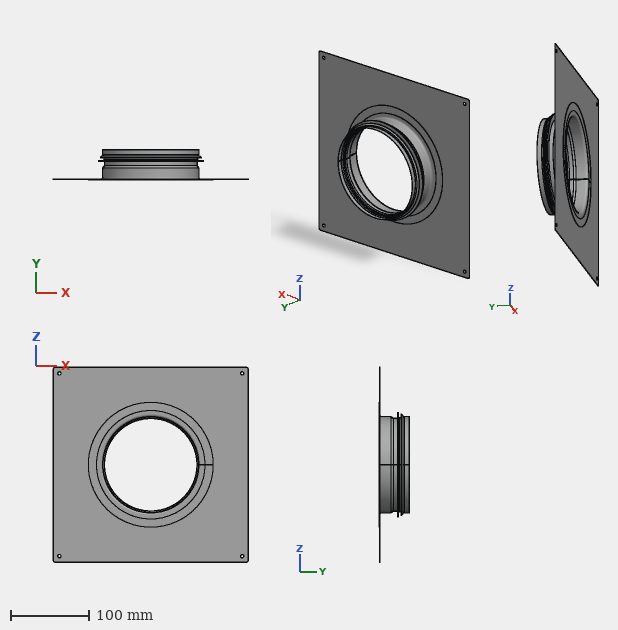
import cadquery as cq
import math


plate_side = 250.0
plate_thickness = 0.5
plate_corner_radius = 3.0
plate_opening_diameter = 139.0
screw_hole_diameter = 4.0
screw_hole_inset = 8.0

sheet = 0.5
collar_length = 39.0
flange_diameter = 160.0
tube_radius = 124.0 / 2
neck_radius = 119.2 / 2
flare_radius = 2.8
front_bend_start = 14.0
front_cone_start = 15.5
front_bend_drop = 0.2
front_cone_end = 18.2
rear_cone_start = 29.8
rear_cone_end = 32.8
rim_taper_length = 1.8
rim_taper_depth = 0.12
seam_gap = 0.5

sleeve_radius = 120.5 / 2
disc_radius = 134.5 / 2
disc_start = 23.8
disc_thickness = 1.5
disc_root_chamfer = 0.8
lip_radius = 129.5 / 2
lip_start = 28.2
lip_tip_width = 0.8
lip_shoulder_radius = 62.8
lip_end = 31.0


def revolve_about_duct_axis(profile):
    """Revolve a closed (radius, Y) profile about the Y axis."""
    return profile.close().revolve(360, (0, 0, 0), (0, 1, 0))


def make_plate():
    plate = (
        cq.Workplane("XZ", origin=(0, sheet, 0))
        .rect(plate_side, plate_side)
        .circle(plate_opening_diameter / 2)
        .extrude(-plate_thickness)
        .edges("|Y and (<X or >X)")
        .fillet(plate_corner_radius)
    )
    hole_pitch = plate_side - 2 * screw_hole_inset
    screw_holes = (
        cq.Workplane("XZ", origin=(0, sheet, 0))
        .rect(hole_pitch, hole_pitch, forConstruction=True)
        .vertices()
        .circle(screw_hole_diameter / 2)
        .extrude(-plate_thickness)
    )
    return plate.cut(screw_holes)


def make_collar():
    tube_bore = tube_radius - sheet
    neck_bore = neck_radius - sheet
    flare_centre_radius = tube_radius + flare_radius
    flare_centre_y = sheet + flare_radius
    inner_flare_radius = flare_radius + sheet
    rim_taper_start = collar_length - rim_taper_length
    diagonal = math.sqrt(0.5)
    profile = (
        cq.Workplane("XY")
        .moveTo(flange_diameter / 2, 0)
        .lineTo(flange_diameter / 2, sheet)
        .lineTo(flare_centre_radius, sheet)
        .threePointArc(
            (flare_centre_radius - flare_radius * diagonal, flare_centre_y - flare_radius * diagonal),
            (tube_radius, flare_centre_y),
        )
        .lineTo(tube_radius, front_bend_start)
        .lineTo(tube_radius - front_bend_drop, front_cone_start)
        .lineTo(neck_radius, front_cone_end)
        .lineTo(neck_radius, rear_cone_start)
        .lineTo(tube_radius, rear_cone_end)
        .lineTo(tube_radius, rim_taper_start)
        .lineTo(tube_radius - rim_taper_depth, collar_length)
        .lineTo(tube_bore, collar_length)
        .lineTo(tube_bore, rear_cone_end)
        .lineTo(neck_bore, rear_cone_start)
        .lineTo(neck_bore, front_cone_end)
        .lineTo(tube_bore - front_bend_drop, front_cone_start)
        .lineTo(tube_bore, front_bend_start)
        .lineTo(tube_bore, flare_centre_y)
        .threePointArc(
            (
                flare_centre_radius - inner_flare_radius * diagonal,
                flare_centre_y - inner_flare_radius * diagonal,
            ),
            (flare_centre_radius, 0),
        )
    )
    seam = cq.Workplane("XY").box(
        flange_diameter, collar_length, seam_gap, centered=(False, False, True)
    )
    return revolve_about_duct_axis(profile).cut(seam)


def make_seal():
    disc_end = disc_start + disc_thickness
    cone_slope = (tube_radius - neck_radius) / (rear_cone_end - rear_cone_start)
    cone_radius_at_lip_end = neck_radius + cone_slope * (lip_end - rear_cone_start)
    profile = (
        cq.Workplane("XY")
        .moveTo(neck_radius, disc_start)
        .lineTo(disc_radius, disc_start)
        .lineTo(disc_radius, disc_end)
        .lineTo(sleeve_radius + disc_root_chamfer, disc_end)
        .lineTo(sleeve_radius, disc_end + disc_root_chamfer)
        .lineTo(sleeve_radius, lip_start)
        .lineTo(lip_radius, lip_start)
        .lineTo(lip_radius, lip_start + lip_tip_width)
        .lineTo(lip_shoulder_radius, lip_end)
        .lineTo(cone_radius_at_lip_end, lip_end)
        .lineTo(neck_radius, rear_cone_start)
    )
    return revolve_about_duct_axis(profile)


plate = make_plate()
collar = make_collar()
seal = make_seal()

result = cq.Compound.makeCompound([plate.val(), collar.val(), seal.val()])